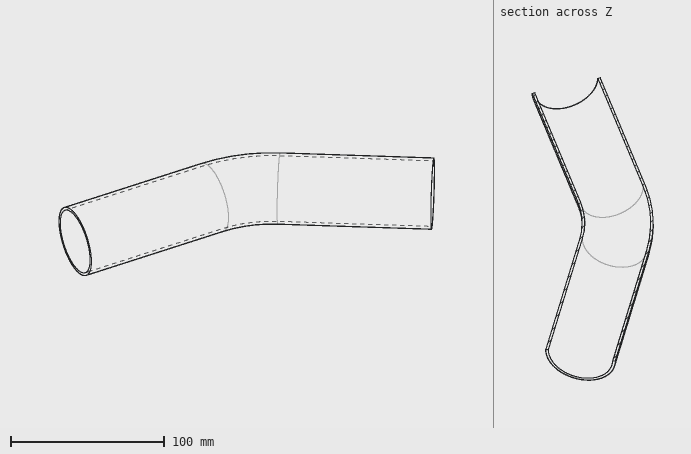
import cadquery as cq
import math

outer_diameter = 46.5
wall = 2.0
leg_length = 100.0
bend_radius = 85.5
bend_angle = 30.0


def point_on_bend(angle):
    """Centreline point reached after turning by the given angle in degrees."""
    turn = math.radians(angle)
    return (
        bend_radius * (1 - math.cos(turn)),
        leg_length + bend_radius * math.sin(turn),
    )


bend_end = point_on_bend(bend_angle)
lean = math.radians(bend_angle)
far_end = (
    bend_end[0] + leg_length * math.sin(lean),
    bend_end[1] + leg_length * math.cos(lean),
)
centreline = (
    cq.Workplane("XY")
    .lineTo(0, leg_length)
    .threePointArc(point_on_bend(bend_angle / 2), bend_end)
    .lineTo(*far_end)
)

outer_radius = outer_diameter / 2
result = (
    cq.Workplane("XZ")
    .circle(outer_radius)
    .circle(outer_radius - wall)
    .sweep(centreline)
)